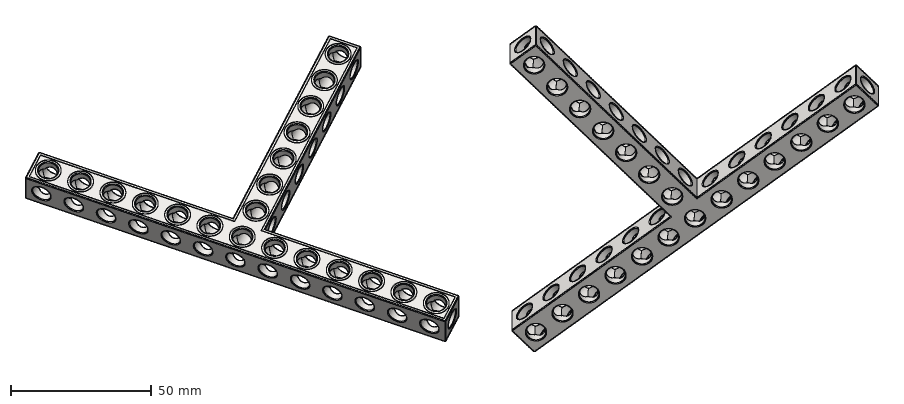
import cadquery as cq

pitch = 12.5
bar_cells = 13
stem_cells = 7
bore_diameter = 7.0

edge_break = 0.3

beam_width = pitch
beam_height = 12.5
bar_length = bar_cells * pitch
stem_length = stem_cells * pitch

rim_width = 1.1
relief_depth = 0.2
collar_diameter = 9.2

bar_columns = [(i - (bar_cells - 1) / 2) * pitch for i in range(bar_cells)]
stem_rows = [(i + 1) * pitch for i in range(stem_cells)]
cell_centres = [(x, 0) for x in bar_columns] + [(0, y) for y in stem_rows]
front_face_y = -beam_width / 2
back_face_y = front_face_y + beam_width + stem_length
mid_height = beam_height / 2


def tee(inset, bottom, height):
    """T-shaped prism whose sides lie inside the beam outline by the inset."""
    width = beam_width - 2 * inset
    bar = cq.Workplane("XY").box(bar_length - 2 * inset, width, height, centered=(True, True, False))
    stem_end = back_face_y - inset
    stem = cq.Workplane("XY").box(width, stem_end, height, centered=(True, False, False))
    return bar.union(stem).translate((0, 0, bottom))


def beam_body():
    """Solid T beam, chamfered on every outer edge except the two inside corners."""
    body = tee(0, 0, beam_height)
    body = body.edges("|Z").edges("<X or >X or >Y").chamfer(edge_break)
    return body.faces("<Z or >Z").edges().chamfer(edge_break)


def collars(floor):
    """Cylinders standing on the relief floor, one at the centre of every cell."""
    return (
        cq.Workplane("XY", origin=(0, 0, floor))
        .pushPoints(cell_centres)
        .circle(collar_diameter / 2)
        .extrude(relief_depth)
    )


def bore(start, direction, length):
    """Through bore from start along direction, countersunk at both ends."""
    radius = bore_diameter / 2
    mouth_radius = radius + edge_break
    start = cq.Vector(*start)
    direction = cq.Vector(*direction)
    end = start + direction * length
    shaft = cq.Solid.makeCylinder(radius, length, start, direction)
    near_mouth = cq.Solid.makeCone(mouth_radius, radius, edge_break, start, direction)
    far_mouth = cq.Solid.makeCone(mouth_radius, radius, edge_break, end, direction * -1)
    return shaft.fuse(near_mouth, far_mouth)


def bores_along_x():
    """Bores across the stem, and one lengthwise through the bar."""
    across = [bore((-beam_width / 2, y, mid_height), (1, 0, 0), beam_width) for y in stem_rows]
    lengthwise = bore((-bar_length / 2, 0, mid_height), (1, 0, 0), bar_length)
    return across + [lengthwise]


def bores_along_y():
    """Bores across the bar, and one lengthwise through the stem at the centre column."""
    across = [bore((x, front_face_y, mid_height), (0, 1, 0), beam_width) for x in bar_columns if x != 0]
    lengthwise = bore((0, front_face_y, mid_height), (0, 1, 0), back_face_y - front_face_y)
    return across + [lengthwise]


def bores_along_z():
    """One vertical bore through every cell."""
    return [bore((x, y, 0), (0, 0, 1), beam_height) for x, y in cell_centres]


def top_relief():
    """Shallow pocket inside the rim, leaving the collars standing."""
    floor = beam_height - relief_depth
    pocket = tee(rim_width, floor, relief_depth)
    return pocket.cut(collars(floor))


result = beam_body().cut(top_relief())
for hole in bores_along_x() + bores_along_y() + bores_along_z():
    result = result.cut(cq.Workplane(hole))